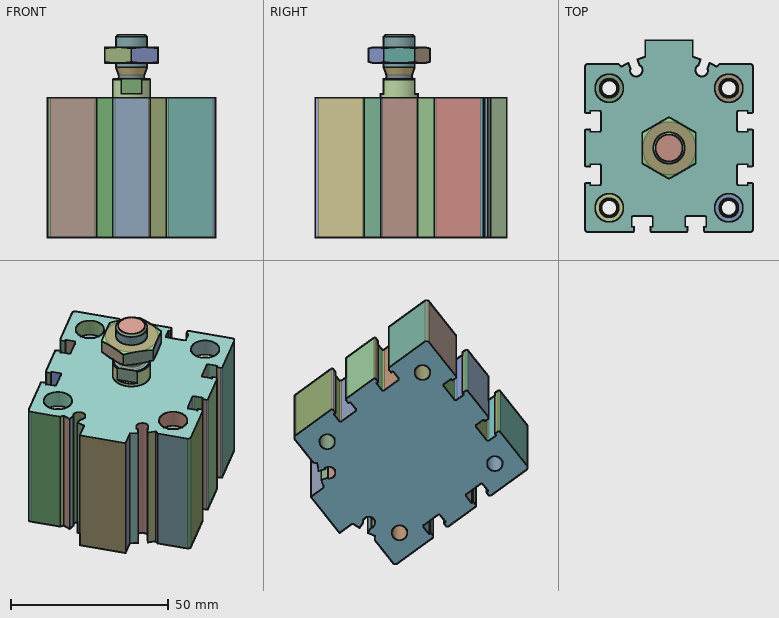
import cadquery as cq
import math

body_width = 53.5
body_height = 44.5
half_width = body_width / 2
corner_radius = 1.0

rail_width = 15.1
rail_reach = 34.25

groove_tilt = math.radians(20)
groove_width = 3.0
bulb_diameter = 3.9
bulb_x = 10.42
bulb_y = 24.72
bulb_shoulder = 0.9
mouth_height = 3.1
notch_root_x = 15.2
notch_root_y = 25.85
notch_edge_x = 16.1

slot_offset = 8.5
slot_mouth_width = 5.2
slot_width = 6.6
slot_lip = 1.75
slot_depth = 5.1
slot_edge_radius = 0.5

hole_offset = 19.0
hole_diameter = 4.92
counterbore_diameter = 9.0
counterbore_depth = 5.7
countersink_diameter = 6.1

rod_diameter = 12.0
rod_length = 20.0
collar_height = 6.0
collar_chamfer = 0.25
flat_width = 10.0
flat_start = 1.2
neck_diameter = 8.2
neck_fillet = 0.45
neck_blend = 0.75
taper_angle = math.radians(20)
taper_top = 9.6
thread_diameter = 10.0
tip_diameter = 8.57

nut_width = 17.0
nut_thickness = 5.0
nut_base = 11.0
nut_face_diameter = 16.8
nut_chamfer_angle = math.radians(15)

out_x = math.sin(groove_tilt)
out_y = math.cos(groove_tilt)


def mouth_point(across):
    """Point on the mouth line of the right-hand groove, 'across' from its centre line."""
    return (
        bulb_x + mouth_height * out_x + across * out_y,
        bulb_y + mouth_height * out_y - across * out_x,
    )


def housing_block():
    """Block with the rail and the V notches; the grooves and slots are cut later."""
    rail_edge = rail_width / 2
    mouth_x, mouth_y = mouth_point(0)
    rail_foot = mouth_y + (mouth_x - rail_edge) * math.tan(groove_tilt)
    right_side = [
        (half_width, -half_width),
        (half_width, half_width),
        (notch_edge_x, half_width),
        (notch_root_x, notch_root_y),
        mouth_point(groove_width / 2),
        (rail_edge, rail_foot),
        (rail_edge, rail_reach),
    ]
    left_side = [(-x, y) for x, y in reversed(right_side)]
    block = cq.Workplane("XY").polyline(right_side + left_side).close().extrude(body_height)
    for side_x in (">X", "<X"):
        block = block.faces(side_x).edges("|Z").fillet(corner_radius)
    return block


def sensor_groove():
    """Cutter for the right-hand groove: a round bulb with square shoulders and a tilted mouth."""
    bulb_radius = bulb_diameter / 2
    mouth_half = groove_width / 2
    shoulder_half = math.sqrt(bulb_radius**2 - bulb_shoulder**2)
    mouth_end = 2 * mouth_height
    profile = (
        cq.Workplane("XY")
        .moveTo(-mouth_half, mouth_end)
        .lineTo(-mouth_half, bulb_shoulder)
        .lineTo(-shoulder_half, bulb_shoulder)
        .threePointArc((0, -bulb_radius), (shoulder_half, bulb_shoulder))
        .lineTo(mouth_half, bulb_shoulder)
        .lineTo(mouth_half, mouth_end)
        .close()
    )
    groove = profile.extrude(body_height)
    groove = groove.rotate((0, 0, 0), (0, 0, 1), -math.degrees(groove_tilt))
    return groove.translate((bulb_x, bulb_y, 0))


def t_slot():
    """Cutter for a T-slot in the -Y side at X = 0, flared where its mouth meets the side."""
    mouth_half = slot_mouth_width / 2
    flared_half = mouth_half + slot_edge_radius
    wide_half = slot_width / 2
    edge = -half_width
    lip = edge + slot_lip
    floor = edge + slot_depth
    arc_inset = slot_edge_radius * (1 - math.sqrt(0.5))
    arc_half = mouth_half + arc_inset
    arc_y = edge + arc_inset
    profile = (
        cq.Workplane("XY")
        .moveTo(-flared_half, edge)
        .threePointArc((-arc_half, arc_y), (-mouth_half, edge + slot_edge_radius))
        .lineTo(-mouth_half, lip)
        .lineTo(-wide_half, lip)
        .lineTo(-wide_half, floor)
        .lineTo(wide_half, floor)
        .lineTo(wide_half, lip)
        .lineTo(mouth_half, lip)
        .lineTo(mouth_half, edge + slot_edge_radius)
        .threePointArc((arc_half, arc_y), (flared_half, edge))
        .close()
    )
    return profile.extrude(body_height).faces(">Y").edges("|Z").fillet(slot_edge_radius)


def mounting_hole():
    """Cutter for a counterbored through hole on the axis X = Y = 0."""
    hole_radius = hole_diameter / 2
    sink_radius = countersink_diameter / 2
    bore_radius = counterbore_diameter / 2
    bore_floor = body_height - counterbore_depth
    profile = [
        (0, 0),
        (hole_radius, 0),
        (hole_radius, bore_floor - (sink_radius - hole_radius)),
        (sink_radius, bore_floor),
        (bore_radius, bore_floor),
        (bore_radius, body_height),
        (0, body_height),
    ]
    return cq.Workplane("XZ").polyline(profile).close().revolve(360, (0, 0, 0), (0, 1, 0))


def make_housing():
    housing = housing_block()
    groove = sensor_groove()
    housing = housing.cut(groove).cut(groove.mirror("YZ"))
    slot = t_slot()
    for side_angle in (0, 90, -90):
        for offset in (-slot_offset, slot_offset):
            placed = slot.translate((offset, 0, 0)).rotate((0, 0, 0), (0, 0, 1), side_angle)
            housing = housing.cut(placed)
    hole = mounting_hole()
    for x in (-hole_offset, hole_offset):
        for y in (-hole_offset, hole_offset):
            housing = housing.cut(hole.translate((x, y, 0)))
    return housing


def make_rod():
    """Turned rod with a wrench-flat collar, a necked undercut and a threaded end."""
    rod_radius = rod_diameter / 2
    neck_radius = neck_diameter / 2
    thread_radius = thread_diameter / 2
    tip_radius = tip_diameter / 2
    tip_start = rod_length - (thread_radius - tip_radius)
    fillet_inset = neck_fillet * (1 - math.sqrt(0.5))
    fillet_top = collar_height + neck_fillet
    blend_half = taper_angle / 2
    blend_radius_gain = neck_blend * (1 - math.cos(taper_angle))
    blend_height = neck_blend * math.sin(taper_angle)
    taper_start_radius = neck_radius + blend_radius_gain
    taper_start = taper_top - (thread_radius - taper_start_radius) / math.tan(taper_angle)
    neck_top = taper_start - blend_height
    profile = (
        cq.Workplane("XZ")
        .lineTo(rod_radius, 0)
        .lineTo(rod_radius, collar_height - collar_chamfer)
        .lineTo(rod_radius - collar_chamfer, collar_height)
        .lineTo(neck_radius + neck_fillet, collar_height)
        .threePointArc(
            (neck_radius + fillet_inset, collar_height + fillet_inset),
            (neck_radius, fillet_top),
        )
        .lineTo(neck_radius, neck_top)
        .threePointArc(
            (
                neck_radius + neck_blend * (1 - math.cos(blend_half)),
                neck_top + neck_blend * math.sin(blend_half),
            ),
            (taper_start_radius, taper_start),
        )
        .lineTo(thread_radius, taper_top)
        .lineTo(thread_radius, tip_start)
        .lineTo(tip_radius, rod_length)
        .lineTo(0, rod_length)
        .close()
    )
    rod = profile.revolve(360, (0, 0, 0), (0, 1, 0))
    flat_height = collar_height - flat_start
    for side in (-1, 1):
        flat = (
            cq.Workplane("XY")
            .box(rod_diameter, rod_diameter, flat_height, centered=(True, True, False))
            .translate((0, side * (flat_width + rod_diameter) / 2, flat_start))
        )
        rod = rod.cut(flat)
    return rod.translate((0, 0, body_height))


def make_nut():
    """Hexagon nut with corners along Y, chamfered at both faces."""
    corner_reach = nut_width / math.sqrt(3)
    hexagon = (
        cq.Workplane("XY")
        .polygon(6, 2 * corner_reach)
        .extrude(nut_thickness)
        .rotate((0, 0, 0), (0, 0, 1), 90)
    )
    face_radius = nut_face_diameter / 2
    corner_drop = (corner_reach - face_radius) * math.tan(nut_chamfer_angle)
    envelope = [
        (0, 0),
        (face_radius, 0),
        (corner_reach, corner_drop),
        (corner_reach, nut_thickness - corner_drop),
        (face_radius, nut_thickness),
        (0, nut_thickness),
    ]
    turned = cq.Workplane("XZ").polyline(envelope).close().revolve(360, (0, 0, 0), (0, 1, 0))
    bore = cq.Workplane("XY").circle(thread_diameter / 2).extrude(nut_thickness)
    nut = hexagon.intersect(turned).cut(bore)
    return nut.translate((0, 0, body_height + nut_base))


housing = make_housing()
rod = make_rod()
nut = make_nut()

result = cq.Compound.makeCompound([housing.val(), rod.val(), nut.val()])